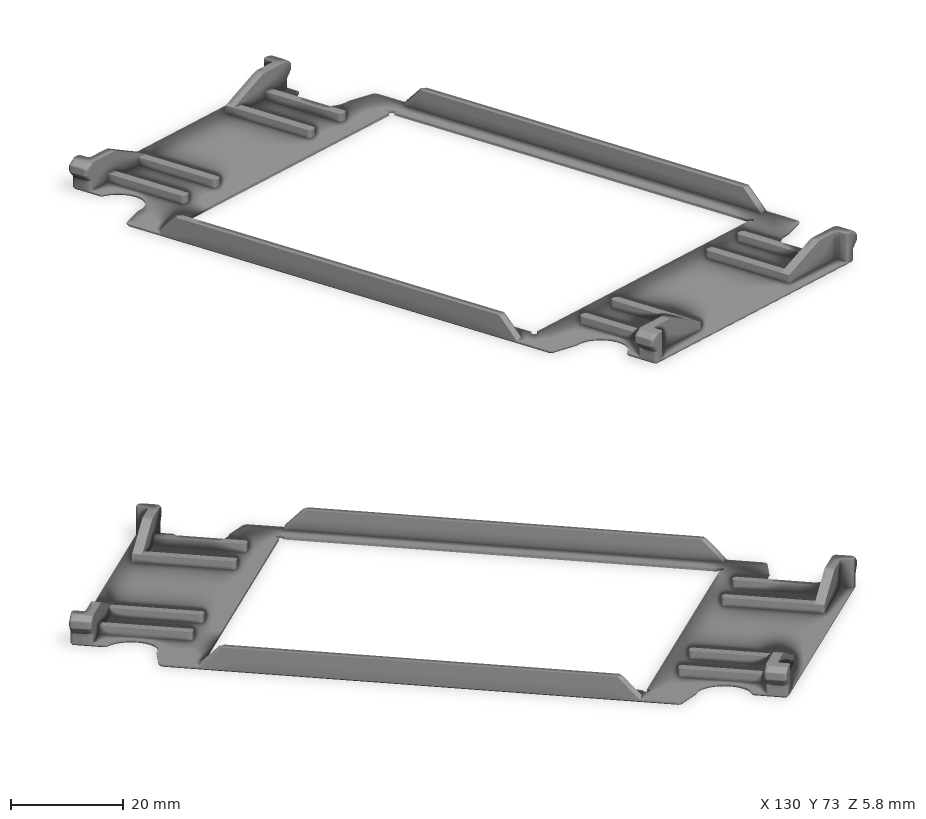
import cadquery as cq
import math


length = 130.0
width = 73.0
height = 5.8
plate_thickness = 0.5
half_length = length / 2
half_width = width / 2
arm_half_width = 29.0
shoulder_half_length = 47.3
shoulder_slope = 3.6
underside_chamfer = 0.3
arm_corner_radius = 0.6
shoulder_corner_radius = 1.0
notch_radius = 4.8
notch_x = -53.7
notch_bottom_y = 25.5
notch_lip_radius = 0.8

window_half_length = 39.9
window_half_width = 31.6
relief_radius = 0.6

rail_thickness = 1.5
rail_top = 4.5
rail_ridge_reach = 40.5
rail_nose = 0.8

wall_outer_x = -62.7
wall_inner_x = -60.8
wall_thickness = wall_inner_x - wall_outer_x
wall_end_y = 13.0
wall_low_top = 2.2
slope_start_y = 21.7
slope_blend_radius = 2.6

post_inner_y = 26.9
post_corner_radius = 0.5
post_edge_radius = arm_corner_radius
barb_nose_radius = 0.4
post_root_radius = 0.5
barb_reach = 1.2
barb_underside_z = 2.3
barb_nose_bottom_z = 3.6
barb_nose_top_z = 5.1

rib_width = 1.8
rib_end_x = -44.0
rib_pitch = 9.1
rib_end_radius = 0.6


def box(x_min, x_max, y_min, y_max, z_min, z_max):
    size = (x_max - x_min, y_max - y_min, z_max - z_min)
    return cq.Workplane("XY").box(*size, centered=False).translate((x_min, y_min, z_min))


def fillet_upright_edge(body, x, y, radius):
    """Round the vertical edge that passes closest to (x, y)."""
    mid_z = body.val().BoundingBox().center.z
    return body.edges("|Z").edges(cq.NearestToPointSelector((x, y, mid_z))).fillet(radius)


def make_plate():
    notch_y = notch_bottom_y + notch_radius
    shoulder_foot_x = -shoulder_half_length - (half_width - arm_half_width) / shoulder_slope
    plate = (
        cq.Workplane("XY")
        .polyline([
            (0, 0),
            (-half_length, 0),
            (-half_length, arm_half_width),
            (shoulder_foot_x, arm_half_width),
            (-shoulder_half_length, half_width),
            (0, half_width),
        ])
        .close()
        .extrude(plate_thickness)
    )
    notch = cq.Workplane("XY").center(notch_x, notch_y).circle(notch_radius).extrude(plate_thickness)
    plate = plate.cut(notch)

    lip_x = notch_x - math.sqrt(notch_radius**2 - (notch_y - arm_half_width) ** 2)
    plate = fillet_upright_edge(plate, -half_length, arm_half_width, arm_corner_radius)
    plate = fillet_upright_edge(plate, lip_x, arm_half_width, notch_lip_radius)
    plate = fillet_upright_edge(plate, -shoulder_half_length, half_width, shoulder_corner_radius)

    plate = plate.edges("<Z").edges("not(>X or <Y)").chamfer(underside_chamfer)

    window = box(-window_half_length, 0, 0, window_half_width, 0, plate_thickness)
    corner_relief = (
        cq.Workplane("XY")
        .center(-window_half_length, window_half_width)
        .circle(relief_radius)
        .extrude(plate_thickness)
    )
    return plate.cut(window).cut(corner_relief)


def make_rail():
    """Rail along the long edge; its end leans back at 45 degrees and has a central ridge.

    The tip of the ridge is cut off level with the window end.
    """
    inner_y = half_width - rail_thickness
    mid_y = half_width - rail_thickness / 2
    end_x = -rail_ridge_reach
    rail = (
        cq.Workplane("XY")
        .polyline([
            (0, inner_y),
            (end_x + rail_nose, inner_y),
            (end_x, mid_y),
            (end_x + rail_nose, half_width),
            (0, half_width),
        ])
        .close()
    )
    lean = rail_top - plate_thickness
    lean_path = cq.Workplane("XZ").lineTo(lean, lean)
    leaning = rail.sweep(lean_path).translate((0, 0, plate_thickness))
    return leaning.intersect(box(-window_half_length, 0, inner_y, half_width, 0, rail_top))


def make_latch_wall():
    """Upright wall whose top drops towards the middle of the part."""
    wall = (
        cq.Workplane("YZ", origin=(wall_outer_x, 0, 0))
        .polyline([
            (wall_end_y, 0),
            (wall_end_y, wall_low_top),
            (slope_start_y, height),
            (post_inner_y, height),
            (post_inner_y, 0),
        ])
        .close()
        .extrude(wall_thickness)
    )
    slope_top = (wall_outer_x + wall_thickness / 2, slope_start_y, height)
    return wall.edges("|X").edges(cq.NearestToPointSelector(slope_top)).fillet(slope_blend_radius)


def make_latch_post():
    """Post at the end of the wall with a barb pointing outwards along Y."""
    tip_y = arm_half_width + barb_reach
    barbed = (
        cq.Workplane("YZ", origin=(-half_length, 0, 0))
        .polyline([
            (post_inner_y, plate_thickness),
            (arm_half_width, plate_thickness),
            (arm_half_width, barb_underside_z),
            (tip_y, barb_nose_bottom_z),
            (tip_y, barb_nose_top_z),
            (arm_half_width, height),
            (post_inner_y, height),
        ])
        .close()
        .extrude(half_length + wall_inner_x)
    )
    nose = cq.selectors.BoxSelector(
        (-half_length, arm_half_width + barb_reach / 2, 0),
        (0, tip_y + barb_reach, height),
    )
    barbed = barbed.edges("|X").edges(nose).fillet(barb_nose_radius)

    outline_edges = cq.selectors.BoxSelector(
        (-half_length - post_edge_radius, arm_half_width - post_edge_radius, 0),
        (0, tip_y + barb_reach, height),
    )
    barbed = barbed.edges("<X or >X").edges(outline_edges).fillet(post_edge_radius)
    return fillet_upright_edge(barbed, -half_length, post_inner_y, post_corner_radius)


def make_rib(center_y):
    rib = box(
        wall_inner_x, rib_end_x,
        center_y - rib_width / 2, center_y + rib_width / 2,
        0, wall_low_top,
    )
    return rib.edges("|Z and >X").fillet(rib_end_radius)


latch = make_latch_wall().union(make_latch_post())
latch = fillet_upright_edge(latch, wall_outer_x, post_inner_y, post_root_radius)

quarter = make_plate().union(make_rail()).union(latch)
first_rib_y = wall_end_y + rib_width / 2
for rib_y in (first_rib_y, first_rib_y + rib_pitch):
    quarter = quarter.union(make_rib(rib_y))

half = quarter.union(quarter.mirror("YZ"))
result = half.union(half.mirror("XZ")).clean()